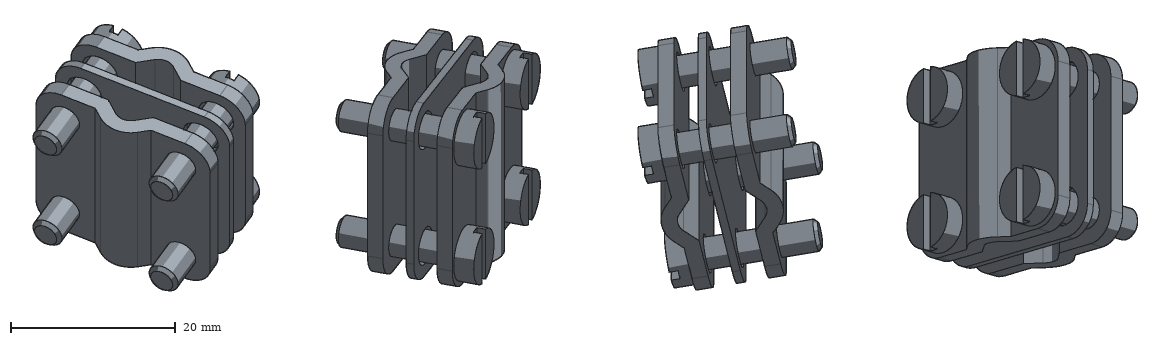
import cadquery as cq
import math


plate_side = 24.0
plate_thickness = plate_side / 12
corner_radius = 3.5
divider_thickness = plate_thickness / 2
gap = 3.0

saddle_angle = math.radians(40)
saddle_inner_radius = plate_thickness
saddle_rise = plate_thickness

screw_spacing = plate_side * 2 / 3
shank_diameter = plate_side / 6
shank_length = screw_spacing
clearance_diameter = 4.8
tip_chamfer = 0.48
head_diameter = 7.0
head_height = 2.6
slot_width = 1.2
slot_depth = 1.1

clamp_inner_y = divider_thickness / 2 + gap
clamp_outer_y = clamp_inner_y + plate_thickness
cut_reach = clamp_outer_y + saddle_rise
screw_places = [
    (x, z)
    for x in (-screw_spacing / 2, screw_spacing / 2)
    for z in (-screw_spacing / 2, screw_spacing / 2)
]


def cylinder_along_y(x, z, start_y, diameter, length):
    """Round bar that starts at start_y and runs toward +Y."""
    axis = cq.Plane(origin=(x, start_y, z), xDir=(1, 0, 0), normal=(0, 1, 0))
    return cq.Workplane(axis).circle(diameter / 2).extrude(length)


def round_corners_and_drill(blank, hole_diameter):
    """Round the four corners of a plate and cut its four screw holes."""
    corner_block = (
        cq.Workplane("XY")
        .box(plate_side, 2 * cut_reach, plate_side)
        .edges("|Y")
        .fillet(corner_radius)
    )
    plate = blank.intersect(corner_block)
    for x, z in screw_places:
        plate = plate.cut(cylinder_along_y(x, z, -cut_reach, hole_diameter, 2 * cut_reach))
    return plate


def saddle_points(face_y, radius):
    """Foot, tangent point and crown of the half of a saddle curve on the +X side."""
    crown_y = face_y + saddle_rise
    tangent_x = radius * math.sin(saddle_angle)
    tangent_y = crown_y - radius * (1 - math.cos(saddle_angle))
    foot_x = tangent_x + (tangent_y - face_y) / math.tan(saddle_angle)
    return (foot_x, face_y), (tangent_x, tangent_y), (0, crown_y)


def mirrored(point):
    """The same point on the other side of the YZ plane."""
    return (-point[0], point[1])


def make_clamp_plate(hole_diameter):
    """Clamp plate on the +Y side, with its saddle raised toward +Y."""
    outer_radius = saddle_inner_radius + plate_thickness
    inner_foot, inner_tangent, inner_crown = saddle_points(clamp_inner_y, saddle_inner_radius)
    outer_foot, outer_tangent, outer_crown = saddle_points(clamp_outer_y, outer_radius)
    blank = (
        cq.Workplane("XY", origin=(0, 0, -plate_side / 2))
        .moveTo(-plate_side / 2, clamp_inner_y)
        .lineTo(*mirrored(inner_foot))
        .lineTo(*mirrored(inner_tangent))
        .threePointArc(inner_crown, inner_tangent)
        .lineTo(*inner_foot)
        .lineTo(plate_side / 2, clamp_inner_y)
        .lineTo(plate_side / 2, clamp_outer_y)
        .lineTo(*outer_foot)
        .lineTo(*outer_tangent)
        .threePointArc(outer_crown, mirrored(outer_tangent))
        .lineTo(*mirrored(outer_foot))
        .lineTo(-plate_side / 2, clamp_outer_y)
        .close()
        .extrude(plate_side)
    )
    return round_corners_and_drill(blank, hole_diameter)


def make_divider():
    """Flat plate halfway between the clamp plates."""
    blank = cq.Workplane("XY").box(plate_side, divider_thickness, plate_side)
    return round_corners_and_drill(blank, clearance_diameter)


def make_screw(x, z):
    """Screw with its head on the +Y clamp plate and its chamfered tip toward -Y."""
    shank = cylinder_along_y(x, z, clamp_outer_y - shank_length, shank_diameter, shank_length)
    shank = shank.faces("<Y").chamfer(tip_chamfer)
    head = cylinder_along_y(x, z, clamp_outer_y, head_diameter, head_height)
    slot_centre_y = clamp_outer_y + head_height - slot_depth / 2
    slot = cq.Workplane("XY", origin=(x, slot_centre_y, z)).box(slot_width, slot_depth, head_diameter)
    return shank.union(head).cut(slot)


back_clamp_plate = make_clamp_plate(clearance_diameter)
front_clamp_plate = make_clamp_plate(shank_diameter).mirror("XZ")
divider = make_divider()
screws = [make_screw(x, z) for x, z in screw_places]

result = cq.Compound.makeCompound(
    [
        back_clamp_plate.val(),
        front_clamp_plate.val(),
        divider.val(),
        *[screw.val() for screw in screws],
    ]
)